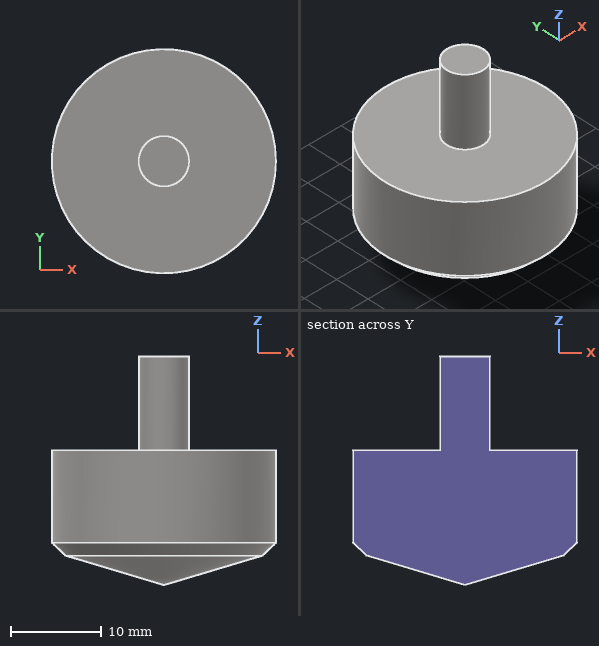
import cadquery as cq

total_height = 25.4
body_diameter = 24.9
pin_diameter = 5.6
pin_length = 10.41
tip_cone_height = 3.28
tip_cone_diameter = 21.9
bevel_height = 1.45

body_radius = body_diameter / 2
pin_radius = pin_diameter / 2
tip_cone_radius = tip_cone_diameter / 2
bevel_top = tip_cone_height + bevel_height
body_top = total_height - pin_length

half_profile = (
    cq.Workplane("XZ")
    .moveTo(0, 0)
    .lineTo(tip_cone_radius, tip_cone_height)
    .lineTo(body_radius, bevel_top)
    .lineTo(body_radius, body_top)
    .lineTo(pin_radius, body_top)
    .lineTo(pin_radius, total_height)
    .lineTo(0, total_height)
    .close()
)

result = half_profile.revolve(360, (0, 0, 0), (0, 1, 0))